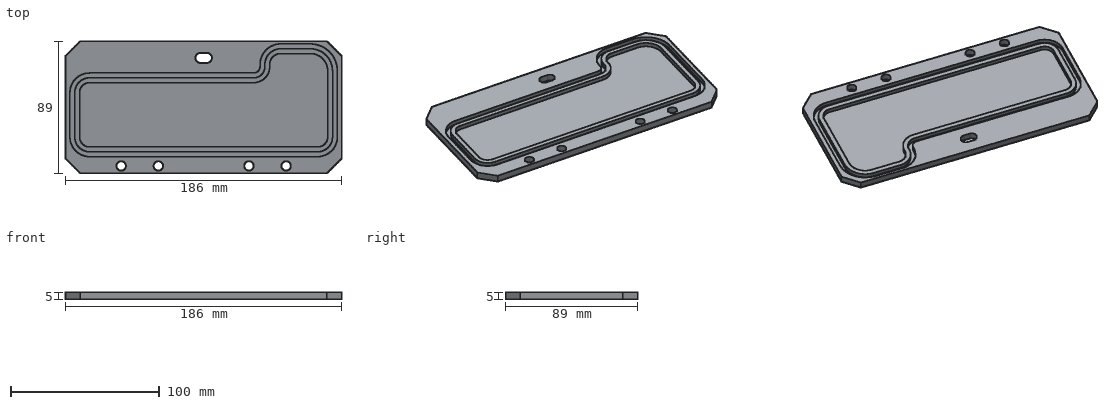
import cadquery as cq

PLATE_LENGTH = 186.0
PLATE_WIDTH = 89.0
PLATE_THICKNESS = 5.0
CORNER_CHAMFER = 10.0

RIB_HALF_LENGTH = 86.75
RIB_BOTTOM_Y = -30.0
RIB_SHOULDER_Y = 19.8
RIB_TOP_Y = 39.4
RIB_STEP_X = 41.2
RIB_CORNER_RADIUS = 10.0
RIB_TOP_RIGHT_RADIUS = 15.0
RIB_STEP_TOP_RADIUS = 10.7
RIB_STEP_SHOULDER_RADIUS = 7.5
RIB_WIDTH = 3.25

GROOVE_WIDTH = 3.25
GROOVE_DEPTH = 3.0
POCKET_DEPTH = 3.0

HOLE_DIAMETER = 6.2
HOLE_Y = -39.5
HOLE_PAIR_CENTER_X = 43.0
HOLE_PAIR_SPACING = 25.0
SLOT_LENGTH = 11.0
SLOT_WIDTH = 6.6
SLOT_Y = 33.2


def make_plate():
    """Flat rectangular plate with its four vertical corner edges chamfered."""
    plate = cq.Workplane("XY").box(
        PLATE_LENGTH, PLATE_WIDTH, PLATE_THICKNESS, centered=(True, True, False)
    )
    return plate.edges("|Z").chamfer(CORNER_CHAMFER)


def loop_cutter(offset, depth):
    """Solid bounded by the rib loop grown by offset, reaching depth below the top face."""
    left = -RIB_HALF_LENGTH
    right = RIB_HALF_LENGTH
    corner = RIB_CORNER_RADIUS
    top_right = RIB_TOP_RIGHT_RADIUS
    step_top = RIB_STEP_TOP_RADIUS
    shoulder = RIB_STEP_SHOULDER_RADIUS

    loop = (
        cq.Workplane("XY", origin=(0, 0, PLATE_THICKNESS - depth))
        .moveTo(left + corner, RIB_BOTTOM_Y)
        .lineTo(right - corner, RIB_BOTTOM_Y)
        .radiusArc((right, RIB_BOTTOM_Y + corner), -corner)
        .lineTo(right, RIB_TOP_Y - top_right)
        .radiusArc((right - top_right, RIB_TOP_Y), -top_right)
        .lineTo(RIB_STEP_X + step_top, RIB_TOP_Y)
        .radiusArc((RIB_STEP_X, RIB_TOP_Y - step_top), -step_top)
        .lineTo(RIB_STEP_X, RIB_SHOULDER_Y + shoulder)
        .radiusArc((RIB_STEP_X - shoulder, RIB_SHOULDER_Y), shoulder)
        .lineTo(left + corner, RIB_SHOULDER_Y)
        .radiusArc((left, RIB_SHOULDER_Y - corner), -corner)
        .lineTo(left, RIB_BOTTOM_Y + corner)
        .radiusArc((left + corner, RIB_BOTTOM_Y), -corner)
        .close()
    )
    if offset != 0:
        loop = loop.offset2D(offset)
    return loop.extrude(depth)


def cut_groove(body):
    """Groove of constant width following the outside of the rib."""
    groove = loop_cutter(GROOVE_WIDTH, GROOVE_DEPTH).cut(loop_cutter(0, GROOVE_DEPTH))
    return body.cut(groove)


def cut_pocket(body):
    """Flat-bottomed pocket filling the inside of the rib."""
    return body.cut(loop_cutter(-RIB_WIDTH, POCKET_DEPTH))


def cut_holes(body):
    """Two pairs of through holes along the front edge."""
    centers = []
    for side in (-1, 1):
        for end in (-1, 1):
            x = side * HOLE_PAIR_CENTER_X + end * HOLE_PAIR_SPACING / 2
            centers.append((x, HOLE_Y))
    holes = cq.Workplane("XY").pushPoints(centers).circle(HOLE_DIAMETER / 2).extrude(PLATE_THICKNESS)
    return body.cut(holes)


def cut_slot(body):
    """Round-ended through slot near the back edge."""
    slot = cq.Workplane("XY").center(0, SLOT_Y).slot2D(SLOT_LENGTH, SLOT_WIDTH).extrude(PLATE_THICKNESS)
    return body.cut(slot)


result = make_plate()
result = cut_groove(result)
result = cut_pocket(result)
result = cut_holes(result)
result = cut_slot(result)